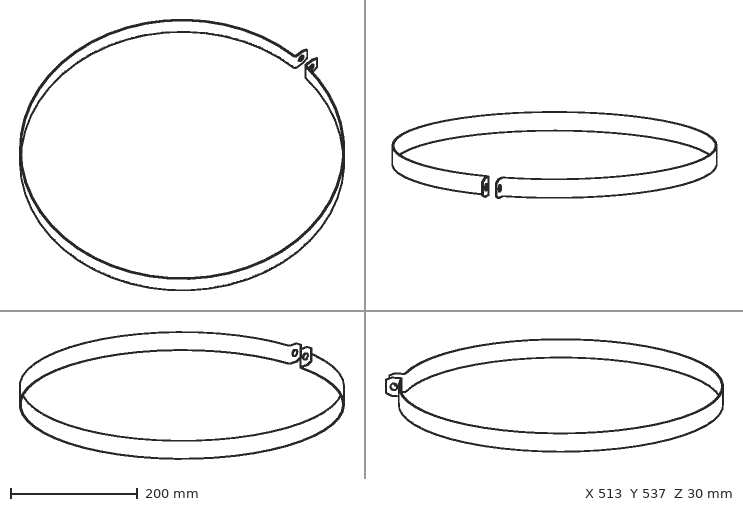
import cadquery as cq
import math

band_width = 30.0
overall_length = 537.0
outer_diameter = 513.0
thickness = 2.0
ear_gap = 21.5
bend_inner_radius = 2.0
hole_diameter = 11.0
hole_from_tip = 13.0
corner_length = 9.0
corner_height = 4.5

outer_radius = outer_diameter / 2
inner_radius = outer_radius - thickness
ear_tip_y = overall_length - outer_radius
ear_inner_x = ear_gap / 2
ear_outer_x = ear_inner_x + thickness
bend_outer_radius = bend_inner_radius + thickness

bend_x = ear_outer_x + bend_inner_radius
bend_distance = outer_radius + bend_inner_radius
bend_y = math.sqrt(bend_distance**2 - bend_x**2)
ring_angle = math.atan2(bend_y, bend_x)


def on_ring(radius):
    """Point where the ring of this radius meets the bend."""
    return (radius * math.cos(ring_angle), radius * math.sin(ring_angle))


def on_bend(radius):
    """Middle point of the bend arc of this radius."""
    angle = math.pi + ring_angle / 2
    return (bend_x + radius * math.cos(angle), bend_y + radius * math.sin(angle))


def mirrored(point):
    return (-point[0], point[1])


def make_band():
    outer_end = on_ring(outer_radius)
    inner_end = on_ring(inner_radius)
    outline = (
        cq.Workplane("XY")
        .moveTo(ear_inner_x, ear_tip_y)
        .lineTo(ear_outer_x, ear_tip_y)
        .lineTo(ear_outer_x, bend_y)
        .threePointArc(on_bend(bend_inner_radius), outer_end)
        .threePointArc((0, -outer_radius), mirrored(outer_end))
        .threePointArc(mirrored(on_bend(bend_inner_radius)), (-ear_outer_x, bend_y))
        .lineTo(-ear_outer_x, ear_tip_y)
        .lineTo(-ear_inner_x, ear_tip_y)
        .lineTo(-ear_inner_x, bend_y)
        .threePointArc(mirrored(on_bend(bend_outer_radius)), mirrored(inner_end))
        .threePointArc((0, -inner_radius), inner_end)
        .threePointArc(on_bend(bend_outer_radius), (ear_inner_x, bend_y))
        .close()
    )
    return outline.extrude(band_width / 2, both=True)


def make_corner_cut(side):
    """Wedge across both ears, at the top (side = 1) or bottom (side = -1)."""
    edge_z = side * band_width / 2
    return (
        cq.Workplane("YZ")
        .moveTo(ear_tip_y, edge_z)
        .lineTo(ear_tip_y - corner_length, edge_z)
        .lineTo(ear_tip_y, edge_z - side * corner_height)
        .close()
        .extrude(ear_outer_x, both=True)
    )


def make_ear_holes():
    return (
        cq.Workplane("YZ")
        .center(ear_tip_y - hole_from_tip, 0)
        .circle(hole_diameter / 2)
        .extrude(ear_outer_x, both=True)
    )


result = make_band().cut(make_ear_holes())
for side in (1, -1):
    result = result.cut(make_corner_cut(side))